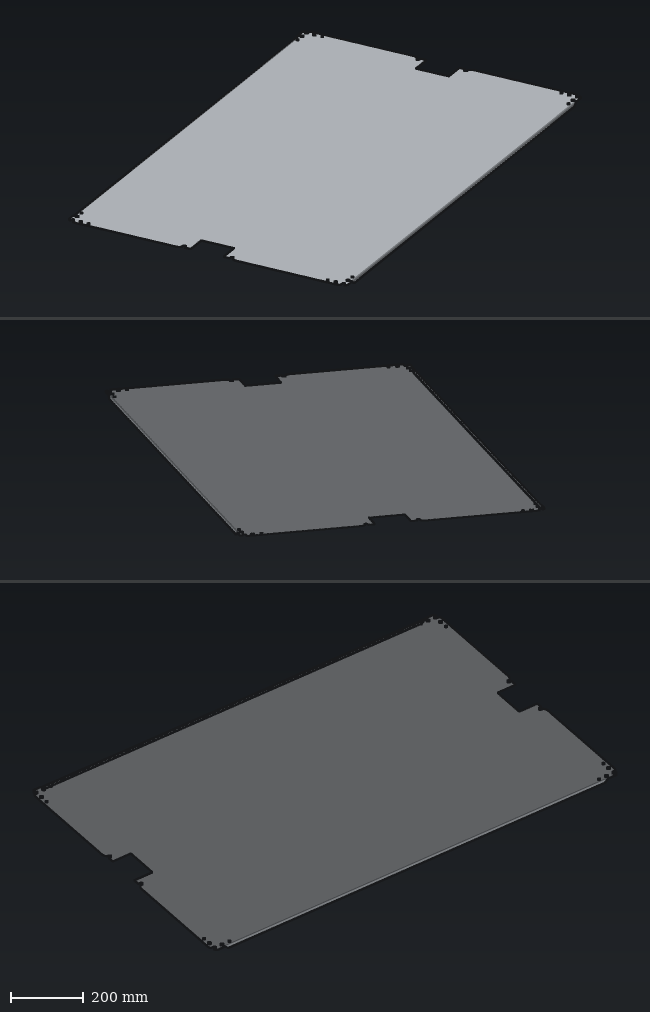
import cadquery as cq
import math

width = 875.0
length = 1375.0
height = 12.5
half_width = width / 2
half_length = length / 2

thickness = 2.5
inner_bend_radius = 1.0
outer_bend_radius = inner_bend_radius + thickness
flange_half_length = 650.0

pitch = 25.0
edge_margin = pitch / 2
hole_row_x = half_width - edge_margin
hole_row_y = half_length - edge_margin
large_diameter = 9.5
small_diameter = 6.6

corner_radius = 50.0
corner_tangent_x = 405.0
step_radius = 20.0
step_tangent_x = 95.0
step_depth = 6.0
cutout_half_width = 51.5
cutout_depth = 67.5
middle_slot_x = 3 * pitch


def quarters(x, y):
    """The four mirror images of a point."""
    return [(sx * x, sy * y) for sx in (1, -1) for sy in (1, -1)]


def arc_drop(radius, run):
    """How far an arc has fallen below its tangent after a run along the tangent."""
    return radius - math.sqrt(radius ** 2 - run ** 2)


def make_sheet():
    """Flat sheet with its end profile, one quarter drawn and mirrored."""
    corner_run = half_width - corner_tangent_x
    corner_y = half_length - arc_drop(corner_radius, corner_run)
    corner_mid = (
        corner_tangent_x + corner_run / 2,
        half_length - arc_drop(corner_radius, corner_run / 2),
    )
    step_run = math.sqrt(step_radius ** 2 - (step_radius - step_depth) ** 2)
    step_y = half_length - step_depth
    step_mid = (
        step_tangent_x - step_run / 2,
        half_length - arc_drop(step_radius, step_run / 2),
    )
    cutout_y = half_length - cutout_depth
    quarter = (
        cq.Workplane("XY")
        .lineTo(half_width, 0)
        .lineTo(half_width, corner_y)
        .threePointArc(corner_mid, (corner_tangent_x, half_length))
        .lineTo(step_tangent_x, half_length)
        .threePointArc(step_mid, (step_tangent_x - step_run, step_y))
        .lineTo(cutout_half_width, step_y)
        .lineTo(cutout_half_width, cutout_y)
        .lineTo(0, cutout_y)
        .close()
        .extrude(-thickness)
    )
    half = quarter.union(quarter.mirror("YZ"))
    return half.union(half.mirror("XZ")).clean()


def make_side_cutter():
    """Space along the +X side that the bent flange takes the place of."""
    return cq.Workplane("XY").box(
        outer_bend_radius, 2 * flange_half_length, 2 * height
    ).translate((half_width - outer_bend_radius / 2, 0, 0))


def make_flange():
    """Bend and wall along the +X side, its ends cut back at 45 degrees."""
    bend_x = half_width - outer_bend_radius
    diagonal = math.sqrt(0.5)
    profile = (
        cq.Workplane("XZ")
        .moveTo(bend_x, 0)
        .threePointArc(
            (bend_x + outer_bend_radius * diagonal, -outer_bend_radius * (1 - diagonal)),
            (half_width, -outer_bend_radius),
        )
        .lineTo(half_width, -height)
        .lineTo(half_width - thickness, -height)
        .lineTo(half_width - thickness, -outer_bend_radius)
        .threePointArc(
            (bend_x + inner_bend_radius * diagonal, -outer_bend_radius + inner_bend_radius * diagonal),
            (bend_x, -thickness),
        )
        .close()
        .extrude(flange_half_length, both=True)
    )
    end_trim = (
        cq.Workplane("YZ")
        .polyline([
            (-flange_half_length, 0),
            (flange_half_length, 0),
            (flange_half_length - height, -height),
            (height - flange_half_length, -height),
        ])
        .close()
        .extrude(width)
    )
    return profile.intersect(end_trim)


def drill(part, points, diameter):
    """Round holes through the sheet."""
    tool = cq.Workplane("XY").pushPoints(points).circle(diameter / 2).extrude(height, both=True)
    return part.cut(tool)


def cut_end_slots(part, x):
    """Round-bottomed slots open to both ends of the sheet, at +x and -x."""
    slot_depth = half_length - hole_row_y
    centres = quarters(x, hole_row_y + slot_depth / 2)
    tool = cq.Workplane("XY").pushPoints(centres).rect(large_diameter, slot_depth).extrude(height, both=True)
    return drill(part.cut(tool), quarters(x, hole_row_y), large_diameter)


sheet = make_sheet()
side_cutter = make_side_cutter()
flange = make_flange()
sheet = sheet.cut(side_cutter).cut(side_cutter.mirror("YZ"))
part = sheet.union(flange).union(flange.mirror("YZ"))

for slot_x in (hole_row_x, middle_slot_x):
    part = cut_end_slots(part, slot_x)

large_holes = quarters(hole_row_x - pitch, hole_row_y) + quarters(hole_row_x, hole_row_y - pitch)
small_holes = quarters(hole_row_x - 2 * pitch, hole_row_y) + quarters(hole_row_x, hole_row_y - 2 * pitch)
part = drill(part, large_holes, large_diameter)
part = drill(part, small_holes, small_diameter)

result = part